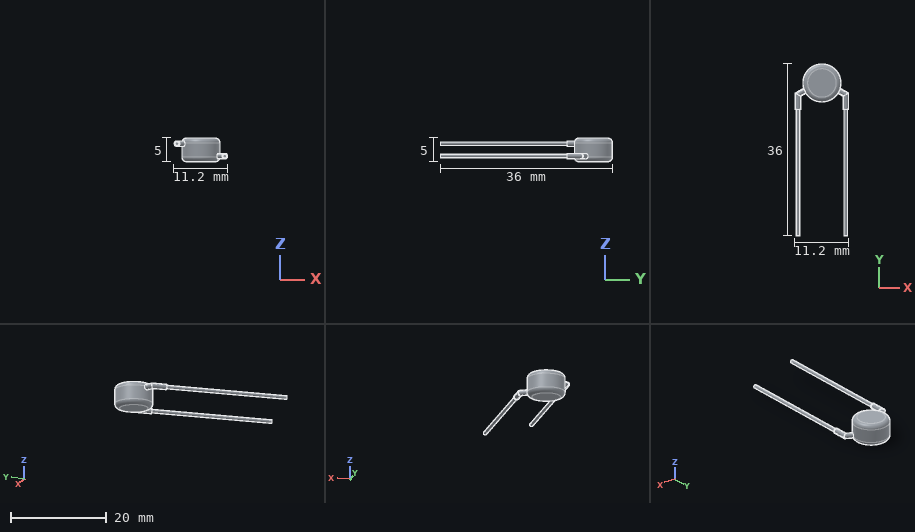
import cadquery as cq
import math

disc_diameter = 8.0
disc_height = 5.0
disc_edge_radius = 1.0

overall_length = 36.0
lead_spacing = 10.0
lead_level = 1.3
wire_diameter = 0.8
sleeve_diameter = 1.2
sleeve_end_y = -5.5
bend_y = -2.45
bend_angle = 30.0
root_x = 2.15

disc_radius = disc_diameter / 2
lead_x = lead_spacing / 2
wire_end_y = disc_radius - overall_length
root_y = bend_y + (lead_x - root_x) * math.tan(math.radians(bend_angle))

SIDES = (-1, 1)


def bent_rod(side, diameter, end_y):
    """Round rod from inside the disc, mitred at the bend, then straight along -Y to end_y."""
    level = -side * lead_level
    path = cq.Workplane("XY", origin=(0, 0, level)).polyline(
        [(side * lead_x, end_y), (side * lead_x, bend_y), (side * root_x, root_y)]
    )
    profile = cq.Workplane("XZ", origin=(side * lead_x, end_y, level)).circle(diameter / 2)
    return profile.sweep(path, transition="right")


def make_wire(side):
    """Bare lead wire, running through its sleeve into the disc."""
    return bent_rod(side, wire_diameter, wire_end_y)


def make_coating(wires):
    """Rounded disc with a sleeve down each lead, bored to match the wires."""
    coating = (
        cq.Workplane("XY", origin=(0, 0, -disc_height / 2))
        .circle(disc_radius)
        .extrude(disc_height)
        .edges("%CIRCLE")
        .fillet(disc_edge_radius)
    )
    for side in SIDES:
        coating = coating.union(bent_rod(side, sleeve_diameter, sleeve_end_y))
    for wire in wires:
        coating = coating.cut(wire)
    return coating.solids()


wires = [make_wire(side) for side in SIDES]
coating = make_coating(wires)

result = cq.Compound.makeCompound([coating.val(), *[wire.val() for wire in wires]])